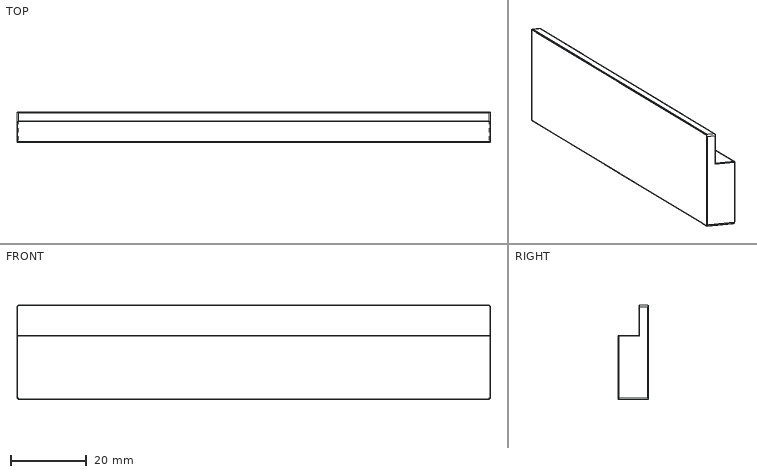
import cadquery as cq

length = 125.0
depth = 8.0
height = 25.0

lip_thickness = 2.5
lip_height = 8.0
shelf_height = height - lip_height

corner_chamfer = 0.5

edge_bevel = 0.2


def stepped_bar():
    """L-shaped section extruded along X, with its rear face toward +Y."""
    rear = depth / 2
    front = -depth / 2
    lip_front = rear - lip_thickness
    section = [
        (front, 0),
        (rear, 0),
        (rear, height),
        (lip_front, height),
        (lip_front, shelf_height),
        (front, shelf_height),
    ]
    return cq.Workplane("YZ").polyline(section).close().extrude(length / 2, both=True)


def chamfer_end_corners(bar):
    """Bevel the top and bottom corners at both ends."""
    bar = bar.faces(">Z").edges("|Y").chamfer(corner_chamfer)
    return bar.faces("<Z").edges("|Y").chamfer(corner_chamfer)


def bevel_outer_edges(bar):
    """Break the outer edges, leaving the inner corner and the corner chamfers' Y edges sharp."""
    outline_edges = bar.faces("<X or >X or <Z or >Z or <Y").edges("not |Y")
    shelf_end_edges = bar.faces("<X or >X").edges("|Y and (not(<Z or >Z))")
    return outline_edges.add(shelf_end_edges).chamfer(edge_bevel)


result = bevel_outer_edges(chamfer_end_corners(stepped_bar()))